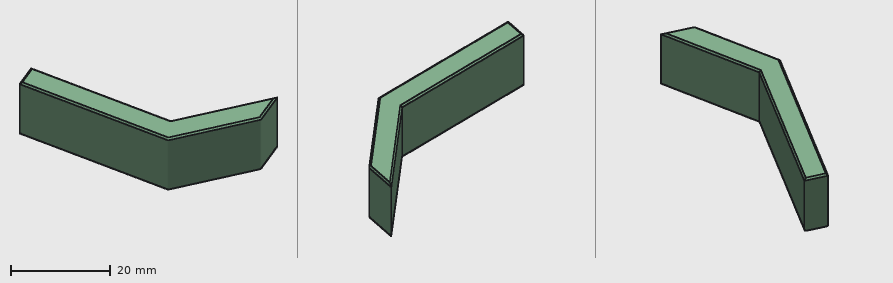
import cadquery as cq
import math

length = 47.65
height = 15.0
thickness = 5.0
overall_depth = 20.9
bend_angle = 45.0
top_chamfer = 0.4
edge_radius = 0.52

angle = math.radians(bend_angle)
inner_bend_x = length - (overall_depth - thickness) / math.tan(angle)
outer_bend_x = inner_bend_x + thickness * math.tan(angle / 2)
outer_end_y = (length - outer_bend_x) * math.tan(angle)


def bent_bar():
    outline = [
        (0, 0),
        (outer_bend_x, 0),
        (length, outer_end_y),
        (length, overall_depth),
        (inner_bend_x, thickness),
        (0, thickness),
    ]
    return cq.Workplane("XY").polyline(outline).close().extrude(height)


def round_upright_edge(body, x, y):
    """Round the vertical edge nearest to (x, y)."""
    edge = cq.selectors.NearestToPointSelector((x, y, height / 2))
    return body.edges("|Z").edges(edge).fillet(edge_radius)


def round_bottom_rim(body):
    """Round the bottom rim, leaving its edge at the end of the straight leg sharp."""
    sharp_edge = cq.selectors.NearestToPointSelector((0, thickness / 2, 0))
    rim = body.faces("<Z").edges()
    return rim.edges(cq.selectors.InverseSelector(sharp_edge)).fillet(edge_radius)


body = bent_bar()
body = round_upright_edge(body, outer_bend_x, 0)
body = round_upright_edge(body, length, outer_end_y)
body = round_bottom_rim(body)

result = body.faces(">Z").edges().chamfer(top_chamfer)